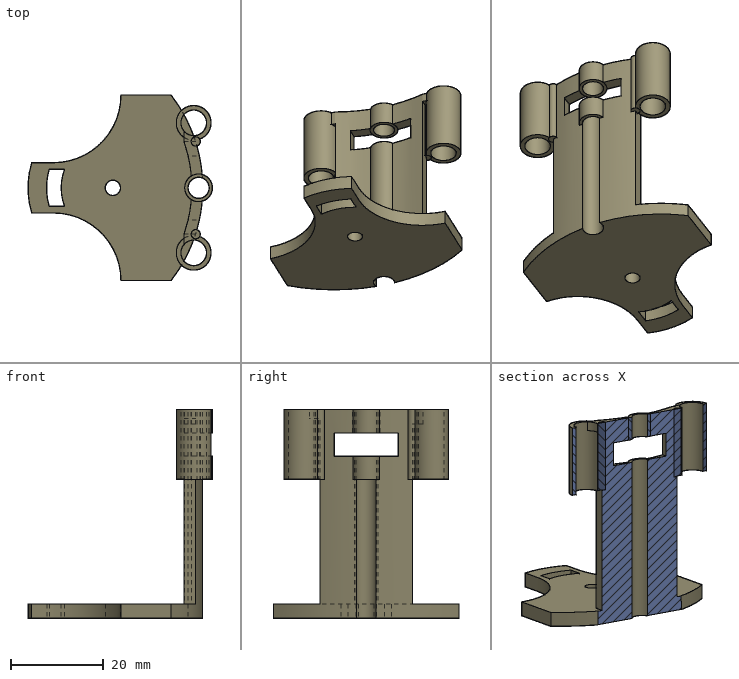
import cadquery as cq
import math

total_height = 45.0
plate_thickness = 3.1
tube_height = 15.08
window_top_depth = 5.1
window_bottom_depth = 10.1

plate_half_width = 20.002
neck_half_width = 5.45
neck_end_radius = 18.3
scallop_radius = 14.5
scallop_center_x = -12.8
outer_edge_x = 19.4
outer_edge_radius = 32.62
center_hole_diameter = 3.25

slot_half_width = 3.95
slot_outer_radius = 14.25
slot_inner_radius = 11.15

wall_thickness = 2.4
wall_half_width = 10.0
window_half_width = 6.9

center_tube_x = 18.472
center_tube_diameter = 6.0
center_bore_diameter = 4.5

side_tube_x = 17.4
side_tube_y = 14.0
side_tube_diameter = 7.5
side_bore_diameter = 5.5
pin_diameter = 2.0
pin_x = 17.85
pin_y = wall_half_width
left_tab_height = 3.1
right_tab_height = 1.95

edge_center_x = outer_edge_x - outer_edge_radius
wall_inner_radius = outer_edge_radius - wall_thickness
tube_bottom = total_height - tube_height
window_top = total_height - window_top_depth
window_bottom = total_height - window_bottom_depth


def cylinder(diameter, x, y, bottom, top):
    """Upright cylinder between two levels."""
    return (
        cq.Workplane("XY", origin=(x, y, bottom))
        .circle(diameter / 2)
        .extrude(top - bottom)
    )


def block(x_min, x_max, y_min, y_max, bottom, top):
    """Axis-aligned block given by its limits."""
    return cq.Workplane("XY").box(
        x_max - x_min, y_max - y_min, top - bottom, centered=False
    ).translate((x_min, y_min, bottom))


def arc_x(center_x, radius, y):
    """X of the +X side of a circle centered on the X axis, at offset y."""
    return center_x + math.sqrt(radius**2 - y**2)


def make_plate():
    corner_x = arc_x(edge_center_x, outer_edge_radius, plate_half_width)
    neck_corner_x = -arc_x(0, neck_end_radius, neck_half_width)
    scallop_center_y = neck_half_width + scallop_radius
    scallop_end_x = scallop_center_x + math.sqrt(
        scallop_radius**2 - (plate_half_width - scallop_center_y) ** 2
    )
    scallop_mid_x = scallop_center_x + scallop_radius * math.sqrt(0.5)
    scallop_mid_y = scallop_center_y - scallop_radius * math.sqrt(0.5)
    plate = (
        cq.Workplane("XY")
        .moveTo(neck_corner_x, neck_half_width)
        .lineTo(scallop_center_x, neck_half_width)
        .threePointArc((scallop_mid_x, scallop_mid_y), (scallop_end_x, plate_half_width))
        .lineTo(corner_x, plate_half_width)
        .threePointArc((outer_edge_x, 0), (corner_x, -plate_half_width))
        .lineTo(scallop_end_x, -plate_half_width)
        .threePointArc((scallop_mid_x, -scallop_mid_y), (scallop_center_x, -neck_half_width))
        .lineTo(neck_corner_x, -neck_half_width)
        .threePointArc((-neck_end_radius, 0), (neck_corner_x, neck_half_width))
        .close()
        .extrude(plate_thickness)
    )
    slot_outer_x = -arc_x(0, slot_outer_radius, slot_half_width)
    slot_inner_x = -arc_x(0, slot_inner_radius, slot_half_width)
    slot = (
        cq.Workplane("XY")
        .moveTo(slot_outer_x, slot_half_width)
        .lineTo(slot_inner_x, slot_half_width)
        .threePointArc((-slot_inner_radius, 0), (slot_inner_x, -slot_half_width))
        .lineTo(slot_outer_x, -slot_half_width)
        .threePointArc((-slot_outer_radius, 0), (slot_outer_x, slot_half_width))
        .close()
        .extrude(plate_thickness)
    )
    center_hole = cylinder(center_hole_diameter, 0, 0, 0, plate_thickness)
    return plate.cut(slot).cut(center_hole)


def make_wall():
    outer_x = arc_x(edge_center_x, outer_edge_radius, wall_half_width)
    inner_x = arc_x(edge_center_x, wall_inner_radius, wall_half_width)
    return (
        cq.Workplane("XY")
        .moveTo(inner_x, wall_half_width)
        .lineTo(outer_x, wall_half_width)
        .threePointArc((outer_edge_x, 0), (outer_x, -wall_half_width))
        .lineTo(inner_x, -wall_half_width)
        .threePointArc((outer_edge_x - wall_thickness, 0), (inner_x, wall_half_width))
        .close()
        .extrude(total_height)
    )


def make_tab(side, height):
    """Top extension of the wall, ending flush with the bore of a side tube."""
    x_min = arc_x(edge_center_x, wall_inner_radius, wall_half_width)
    x_max = arc_x(edge_center_x, outer_edge_radius, wall_half_width)
    y_ends = sorted((side * wall_half_width, side * side_tube_y))
    bottom = total_height - height
    tab = block(x_min, x_max, *y_ends, bottom, total_height)
    bore = cylinder(side_bore_diameter, side_tube_x, side * side_tube_y, bottom, total_height)
    return tab.cut(bore)


def make_pin(side):
    return cylinder(pin_diameter, pin_x, side * pin_y, tube_bottom, total_height)


def make_lower_center_tube():
    """Full tube below the window, then a rib that stops at the wall's outer face."""
    tube = cylinder(center_tube_diameter, center_tube_x, 0, tube_bottom, window_bottom)
    rib = cylinder(center_tube_diameter, center_tube_x, 0, 0, tube_bottom)
    wall_limit = cylinder(2 * outer_edge_radius, edge_center_x, 0, 0, tube_bottom)
    return tube.union(rib.intersect(wall_limit))


def make_frame(tabs, pins):
    """Plate, wall, tabs and lower center tube as one body."""
    window = block(0, outer_edge_x, -window_half_width, window_half_width, window_bottom, window_top)
    frame = make_plate().union(make_wall().cut(window)).union(make_lower_center_tube())
    for tab in tabs:
        frame = frame.union(tab)
    center_bore = cylinder(center_bore_diameter, center_tube_x, 0, 0, window_bottom)
    upper_tube_seat = cylinder(center_tube_diameter, center_tube_x, 0, window_top, total_height)
    frame = frame.cut(center_bore).cut(upper_tube_seat)
    for pin in pins:
        frame = frame.cut(pin)
    return frame


def make_upper_center_tube():
    tube = cylinder(center_tube_diameter, center_tube_x, 0, window_top, total_height)
    bore = cylinder(center_bore_diameter, center_tube_x, 0, window_top, total_height)
    return tube.cut(bore)


def make_side_tube(side, tab, pin):
    """Side tube notched for its wall tab and its locating pin."""
    y = side * side_tube_y
    tube = cylinder(side_tube_diameter, side_tube_x, y, tube_bottom, total_height)
    bore = cylinder(side_bore_diameter, side_tube_x, y, tube_bottom, total_height)
    return tube.cut(bore).cut(tab).cut(pin)


tabs = []
pins = []
side_tubes = []
for side, tab_height in ((1, left_tab_height), (-1, right_tab_height)):
    tab = make_tab(side, tab_height)
    pin = make_pin(side)
    tabs.append(tab)
    pins.append(pin)
    side_tubes.append(make_side_tube(side, tab, pin))

frame = make_frame(tabs, pins)
upper_center_tube = make_upper_center_tube()

result = cq.Compound.makeCompound(
    [
        frame.solids().val(),
        upper_center_tube.solids().val(),
        *[tube.solids().val() for tube in side_tubes],
        *[pin.val() for pin in pins],
    ]
)